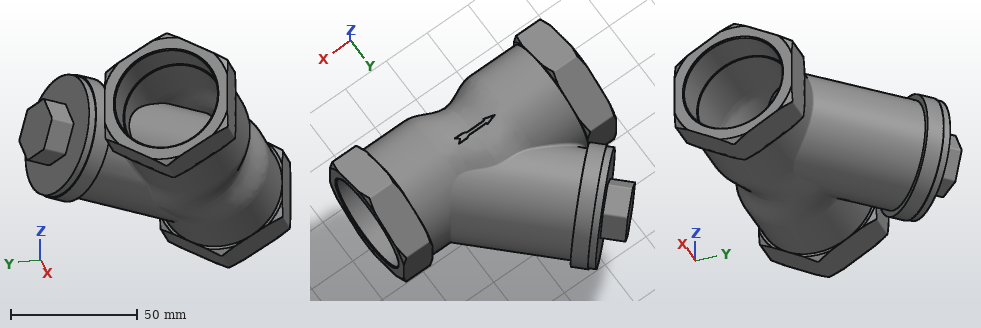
import cadquery as cq
import math

total_length = 104
body_diameter = 50
hex_width = 50
hex_length = 14
hex_edge_radius = 1
hex_face_diameter = 52.4
hex_chamfer_angle = 25
bore_diameter = 40.91
thread_diameter = 41.91
thread_depth = 14
mouth_chamfer = 0.5

waist_half_length = 16
waist_shift = 5
waist_steps = 4

branch_angle = 135
branch_axis_x = 22.2
branch_diameter = 45
branch_start = 9
cap_face_distance = 71.2
flange_diameter = 50
flange_length = 7
cap_diameter = 49
cap_length = 3
head_width = 22
head_length = 10
head_edge_radius = 1
joint_fillet = 1
joint_tolerance = 0.01

arrow_height = 0.5
arrow_tip_x = -10.5
arrow_head_back_x = -6
arrow_half_width = 1.4
shaft_half_width = 0.75
tail_start_x = 2.5
tail_end_x = 8
tail_notch_x = 6.3

half_length = total_length / 2


def corner_width(flat_width):
    return flat_width / math.cos(math.radians(30))


def x_disc(diameter, x_start, length):
    """Cylinder on the X axis, growing towards +X."""
    return cq.Workplane("YZ", origin=(x_start, 0, 0)).circle(diameter / 2).extrude(length)


def waist_half(diameter, side):
    """Half of the waist: circles that slide smoothly from the pipe axis to the shifted middle."""
    wires = []
    for step in range(waist_steps + 1):
        fraction = step / waist_steps
        x = side * waist_half_length * (1 - fraction)
        y = waist_shift * (1 - math.cos(math.pi * fraction)) / 2
        section = cq.Plane(origin=(x, y, 0), xDir=(0, 1, 0), normal=(1, 0, 0))
        wires.append(cq.Workplane(section).circle(diameter / 2).wires().val())
    return cq.Workplane(cq.Solid.makeLoft(wires))


def pipe(diameter):
    """Full-length pipe of one diameter, including the bent waist."""
    straight = half_length - waist_half_length
    shape = x_disc(diameter, -half_length, straight)
    shape = shape.union(waist_half(diameter, -1))
    shape = shape.union(waist_half(diameter, 1))
    return shape.union(x_disc(diameter, waist_half_length, straight))


def end_hex():
    """Hexagon at the -X end: corners along Z, rounded long edges, both ends chamfered."""
    prism = (
        cq.Workplane("YZ", origin=(-half_length, 0, 0))
        .transformed(rotate=(0, 0, 90))
        .polygon(6, corner_width(hex_width))
        .extrude(hex_length)
        .edges("|X")
        .fillet(hex_edge_radius)
    )
    outer_radius = corner_width(hex_width) / 2
    face_radius = hex_face_diameter / 2
    chamfer_depth = (outer_radius - face_radius) * math.tan(math.radians(hex_chamfer_angle))
    envelope = (
        x_disc(2 * outer_radius, -half_length, hex_length)
        .faces("<X or >X")
        .chamfer(chamfer_depth, outer_radius - face_radius)
    )
    return prism.intersect(envelope)


def thread_bore():
    """Thread bore at the -X end, with a chamfered mouth."""
    bore = x_disc(thread_diameter, -half_length, thread_depth)
    mouth = cq.Workplane(
        cq.Solid.makeCone(
            thread_diameter / 2 + mouth_chamfer,
            thread_diameter / 2,
            mouth_chamfer,
            cq.Vector(-half_length, 0, 0),
            cq.Vector(1, 0, 0),
        )
    )
    return bore.union(mouth)


def both_ends(shape):
    return shape.union(shape.mirror("YZ"))


def branch_plane(distance):
    """Plane across the branch axis, at a distance from where the axis crosses the X axis."""
    angle = math.radians(branch_angle)
    direction = (math.cos(angle), math.sin(angle), 0)
    origin = (branch_axis_x + distance * direction[0], distance * direction[1], 0)
    return cq.Workplane(cq.Plane(origin=origin, xDir=(0, 0, 1), normal=direction))


def branch_tube():
    length = cap_face_distance - cap_length - branch_start
    return branch_plane(branch_start).circle(branch_diameter / 2).extrude(length)


def branch_cap():
    """Flange, cap disc and hexagon head closing the branch."""
    cap_base = cap_face_distance - cap_length
    flange = branch_plane(cap_base - flange_length).circle(flange_diameter / 2).extrude(flange_length)
    disc = branch_plane(cap_base).circle(cap_diameter / 2).extrude(cap_length)
    head = (
        branch_plane(cap_face_distance)
        .transformed(rotate=(0, 0, 90))
        .polygon(6, corner_width(head_width))
        .extrude(head_length)
    )
    axis_edges = cq.selectors.ParallelDirSelector(branch_plane(0).plane.zDir)
    head = head.edges(axis_edges).fillet(head_edge_radius)
    return flange.union(disc).union(head)


def flow_arrow():
    upper_side = [
        (arrow_tip_x, 0),
        (arrow_head_back_x, arrow_half_width),
        (arrow_head_back_x, shaft_half_width),
        (tail_start_x, shaft_half_width),
        (tail_start_x + arrow_half_width, arrow_half_width),
        (tail_end_x, arrow_half_width),
        (tail_notch_x, 0),
    ]
    lower_side = [(x, -y) for x, y in reversed(upper_side[1:-1])]
    outline = upper_side + lower_side
    prism = cq.Workplane().polyline(outline).close().extrude(body_diameter)
    raised_skin = pipe(body_diameter + 2 * arrow_height).cut(pipe(body_diameter - 2 * arrow_height))
    return prism.intersect(raised_skin)


def distance_to_branch_axis(point):
    local = branch_plane(0).plane.toLocalCoords(point)
    return math.hypot(local.x, local.y)


def is_joint_edge(edge):
    """True for the curves where the branch tube leaves the pipe."""
    on_tube = abs(distance_to_branch_axis(edge.positionAt(0.5)) - branch_diameter / 2) < joint_tolerance
    return on_tube and edge.geomType() not in ("CIRCLE", "LINE")


body = pipe(body_diameter).union(branch_tube())
joint_edges = body.edges().filter(is_joint_edge)
body = joint_edges.fillet(joint_fillet)
body = body.union(both_ends(end_hex()))
body = body.cut(pipe(bore_diameter)).cut(both_ends(thread_bore()))
result = body.union(branch_tube()).union(branch_cap()).union(flow_arrow())